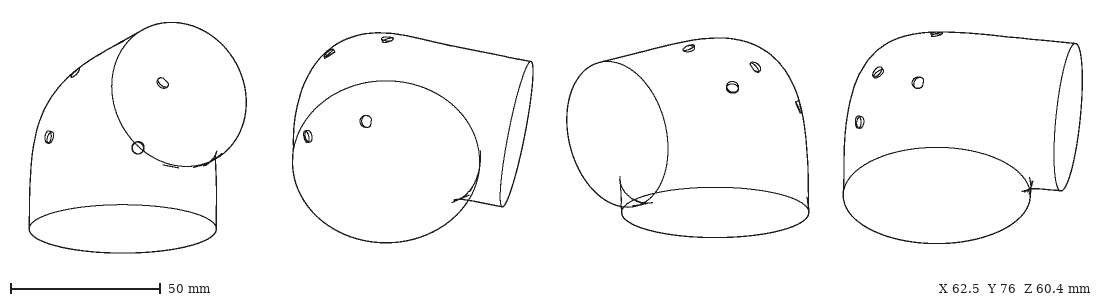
import cadquery as cq
import math

SOCKET_RADIUS = 31.25
PIPE_RADIUS = 24.75
LENGTH = 75.95
HEIGHT = 60.4
SOCKET_DIAMETER = 2 * SOCKET_RADIUS
PIPE_BOTTOM = HEIGHT - 2 * PIPE_RADIUS

OUTER_BEND = [(0, 0), (0, 50.1), (5.0, HEIGHT), (45.6, HEIGHT)]
INNER_BEND = [(SOCKET_DIAMETER, 0), (63.0, 9.9), (63.8, PIPE_BOTTOM), (71.4, PIPE_BOTTOM)]
BEND_STEPS = 8
PIPE_STEPS = 2
RIM_POINTS = 24

SPOT_X = 16.4
SPOT_DIAMETER = 4.0
SPOT_DEPTH = 0.6
SPOT_CLEARANCE = 3.8
FRONT_SPOT = (8.0, 35.55)
TOP_SPOT = (28.1, 53.3)
SPOT_TILT_X = 0.6
SPOT_TILT_MAIN = 0.7
SPOT_TILT_MINOR = 0.4


def bezier(points, t):
    """Point at parameter t on a cubic Bezier curve."""
    weights = [math.comb(3, i) * t**i * (1 - t) ** (3 - i) for i in range(4)]
    return [sum(w * p[axis] for w, p in zip(weights, points)) for axis in range(2)]


def half_width(t):
    """Half width across X, easing from the socket radius to the pipe radius."""
    ease = t**3 * (4 - 3 * t)
    return SOCKET_RADIUS + (PIPE_RADIUS - SOCKET_RADIUS) * ease


def section(outer, inner, width):
    """Closed elliptical wire spanning two points of the symmetry plane."""
    points = []
    for index in range(RIM_POINTS):
        angle = 2 * math.pi * index / RIM_POINTS
        toward_inner = (1 - math.cos(angle)) / 2
        y = outer[0] + (inner[0] - outer[0]) * toward_inner
        z = outer[1] + (inner[1] - outer[1]) * toward_inner
        points.append(cq.Vector(width * math.sin(angle), y, z))
    return cq.Wire.assembleEdges([cq.Edge.makeSpline(points, periodic=True)])


def screw_spot(x, y, z, normal):
    """Cylinder sunk below a surface point, running outward along the normal."""
    outward = cq.Vector(*normal).normalized()
    base = cq.Vector(x, y, z) - outward * SPOT_DEPTH
    return cq.Solid.makeCylinder(SPOT_DIAMETER / 2, SPOT_CLEARANCE, base, outward)


sections = []
for step in range(BEND_STEPS + 1):
    t = step / BEND_STEPS
    sections.append(section(bezier(OUTER_BEND, t), bezier(INNER_BEND, t), half_width(t)))
for step in range(1, PIPE_STEPS + 1):
    t = step / PIPE_STEPS
    outer_y = OUTER_BEND[-1][0] + (LENGTH - OUTER_BEND[-1][0]) * t
    inner_y = INNER_BEND[-1][0] + (LENGTH - INNER_BEND[-1][0]) * t
    sections.append(section((outer_y, HEIGHT), (inner_y, PIPE_BOTTOM), PIPE_RADIUS))

body = cq.Workplane(cq.Solid.makeLoft(sections))

for side in (-1, 1):
    tilt_x = side * SPOT_TILT_X
    front_normal = (tilt_x, -SPOT_TILT_MAIN, SPOT_TILT_MINOR)
    top_normal = (tilt_x, -SPOT_TILT_MINOR, SPOT_TILT_MAIN)
    body = body.cut(cq.Workplane(screw_spot(side * SPOT_X, *FRONT_SPOT, front_normal)))
    body = body.cut(cq.Workplane(screw_spot(side * SPOT_X, *TOP_SPOT, top_normal)))

result = cq.Workplane(body.solids().val())